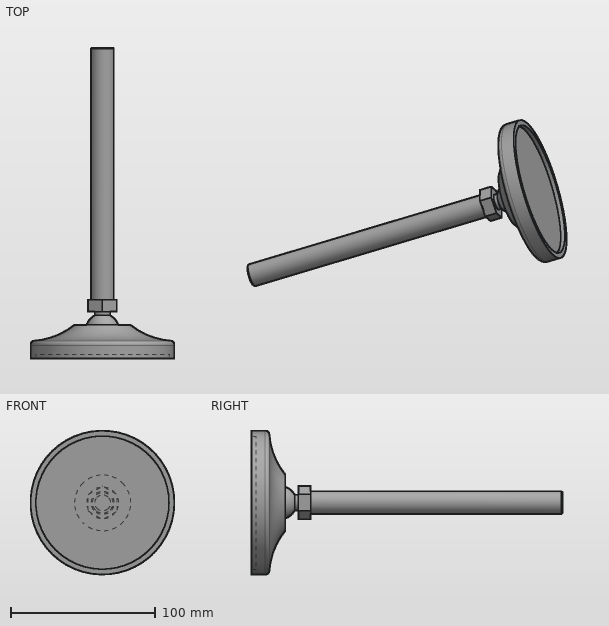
import cadquery as cq
import math

total_length = 216.0

plate_radius = 100.0 / 2
wall_height = 9.3
shoulder_height = 12.5
shoulder_radius = 47.5
plate_height = 23.5
crown_radius = 19.5
flare_mid_radius = 28.5
flare_mid_height = 17.7
recess_radius = 92.5 / 2
recess_depth = 3.0

neck_radius = 11.0 / 2
neck_start = 30.0
ball_radius = 11.7
ball_center = neck_start - math.sqrt(ball_radius**2 - neck_radius**2)

hex_start = 32.6
hex_height = 8.5
hex_across_flats = 20.0
spindle_radius = 16.0 / 2
tip_chamfer = 0.9


def along_axis(start):
    """Workplane normal to the axis at a given distance from the sole."""
    return cq.Workplane("XZ", origin=(0, start, 0))


def cylinder(radius, start, end):
    return along_axis(start).circle(radius).extrude(start - end)


def make_plate():
    bulge = math.sqrt(0.5)
    shoulder_mid = (
        shoulder_radius + bulge * (plate_radius - shoulder_radius),
        wall_height + bulge * (shoulder_height - wall_height),
    )
    profile = (
        cq.Workplane("XY")
        .lineTo(plate_radius, 0)
        .lineTo(plate_radius, wall_height)
        .threePointArc(shoulder_mid, (shoulder_radius, shoulder_height))
        .threePointArc((flare_mid_radius, flare_mid_height), (crown_radius, plate_height))
        .lineTo(0, plate_height)
        .close()
    )
    plate = profile.revolve(360, (0, 0, 0), (0, 1, 0))
    return plate.cut(cylinder(recess_radius, 0, recess_depth))


def make_ball():
    return cq.Workplane("XY").sphere(ball_radius).translate((0, ball_center, 0))


def make_hexagon():
    across_corners = hex_across_flats / math.cos(math.pi / 6)
    return (
        along_axis(hex_start)
        .transformed(rotate=(0, 0, 90))
        .polygon(6, across_corners)
        .extrude(-hex_height)
    )


def make_spindle():
    spindle = cylinder(spindle_radius, hex_start + hex_height, total_length)
    return spindle.faces(">Y").chamfer(tip_chamfer)


result = (
    make_plate()
    .union(make_ball())
    .union(cylinder(neck_radius, ball_center, hex_start))
    .union(make_hexagon())
    .union(make_spindle())
)